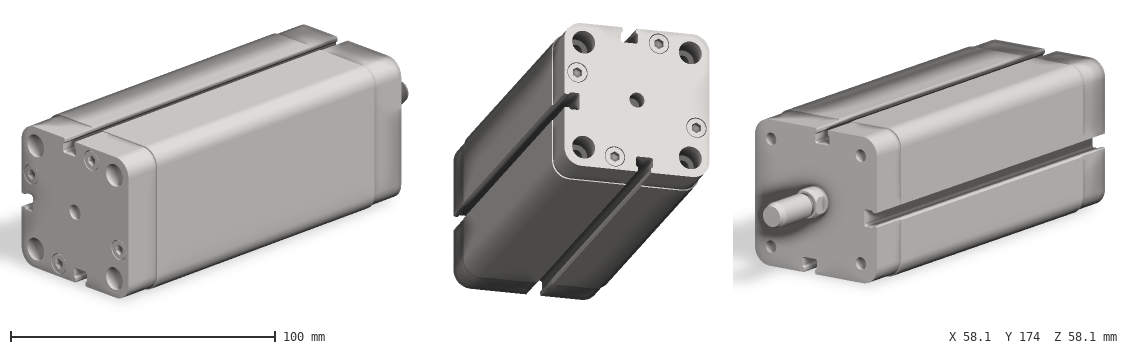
import cadquery as cq

total_length = 174.0
body_length = 145.6
cover_length = 14.8
barrel_length = body_length - 2 * cover_length

barrel_width = 58.1
cover_width = 57.2
corner_radius = 6.8

slot_offset = 3.0
slot_neck_width = 5.2
slot_width = 6.8
slot_depth = 6.5
slot_mouth_flare = 0.44
slot_mouth_depth = 1.0
slot_lip_depth = 2.1
slot_lip_slope = (slot_width - slot_neck_width) / 2
slot_corner_chamfer = 0.61
slot_angles = (0, 90, 180)

mount_hole_spacing = 42.1
mount_hole_diameter = 4.9
mount_counterbore_diameter = 9.0
mount_counterbore_depth = 10.5

screw_center_offset = 8.7
screw_edge_offset = 23.5
screw_recess_diameter = 8.0
screw_head_diameter = 7.5
screw_recess_depth = 4.4
screw_head_recess = 0.2
hex_across_corners = 4.2
hex_depth = 2.1

center_hole_diameter = 6.0
center_hole_depth = 7.0

collar_diameter = 12.0
collar_length = 6.8
collar_chamfer = 0.7
collar_chamfer_length = 1.5
flat_width = 10.1
flat_length = 5.0
neck_diameter = 8.0
thread_diameter = 10.0
thread_length = 19.7
thread_chamfer = 0.5
tip_diameter = 8.0
tip_taper_length = 2.8


def along_y(start):
    """Workplane at Y = start whose local axes are +X and +Z; extrude negatively to go toward +Y."""
    return cq.Workplane("XZ", origin=(0, start, 0))


def rounded_block(width, start, length):
    block = along_y(start).rect(width, width).extrude(-length)
    return block.edges("|Y").fillet(corner_radius)


def rotated(shape, angle):
    """Turn a shape counterclockwise about Y as seen from the cap end."""
    return shape.rotate((0, 0, 0), (0, -1, 0), angle)


def make_slot():
    """Undercut slot through the whole body, open at the top side."""
    surface = barrel_width / 2
    floor = surface - slot_depth
    neck = slot_neck_width / 2
    half = slot_width / 2
    lip = surface - slot_lip_depth
    right_side = [
        (neck + slot_mouth_flare, surface),
        (neck, surface - slot_mouth_depth),
        (neck, lip),
        (half, lip - slot_lip_slope),
        (half, floor + slot_corner_chamfer),
        (half - slot_corner_chamfer, floor),
    ]
    left_side = [(-x, z) for x, z in reversed(right_side)]
    profile = [(x - slot_offset, z) for x, z in right_side + left_side]
    return along_y(0).polyline(profile).close().extrude(-body_length)


def make_screw_recesses():
    """Clearance around and above the screw heads, with a hexagon socket sunk into each head."""
    a = screw_center_offset
    b = screw_edge_offset
    centers = [(a, b), (-b, a), (-a, -b), (b, -a)]
    rim = along_y(0).pushPoints(centers)
    head_top = along_y(screw_head_recess).pushPoints(centers)
    recesses = rim.circle(screw_recess_diameter / 2).extrude(-screw_recess_depth)
    heads = head_top.circle(screw_head_diameter / 2).extrude(screw_head_recess - screw_recess_depth)
    hexagon = cq.Sketch().regularPolygon(hex_across_corners / 2, 6)
    sockets = head_top.placeSketch(hexagon).extrude(-hex_depth)
    return recesses.cut(heads).union(sockets)


def make_rod():
    rod_base = body_length
    collar_end = rod_base + collar_length
    thread_start = total_length - thread_length
    profile = [
        (0, rod_base),
        (collar_diameter / 2, rod_base),
        (collar_diameter / 2, collar_end - collar_chamfer_length),
        (collar_diameter / 2 - collar_chamfer, collar_end),
        (neck_diameter / 2, collar_end),
        (neck_diameter / 2, thread_start),
        (thread_diameter / 2 - thread_chamfer, thread_start),
        (thread_diameter / 2, thread_start + thread_chamfer),
        (thread_diameter / 2, total_length - tip_taper_length),
        (tip_diameter / 2, total_length),
        (0, total_length),
    ]
    rod = cq.Workplane("XY").polyline(profile).close().revolve(360, (0, 0), (0, 1))
    flat_start = collar_end - flat_length
    run_out = collar_diameter / 2
    for side in (1, -1):
        flat = [
            (side * flat_width / 2, collar_end),
            (side * flat_width / 2, flat_start),
            (side * (flat_width / 2 + run_out), flat_start - run_out),
            (side * (flat_width / 2 + run_out), collar_end),
        ]
        rod = rod.cut(cq.Workplane("XY").polyline(flat).close().extrude(collar_diameter / 2, both=True))
    return rod


body = rounded_block(cover_width, 0, cover_length)
body = body.union(rounded_block(barrel_width, cover_length, barrel_length))
body = body.union(rounded_block(cover_width, cover_length + barrel_length, cover_length))

for angle in slot_angles:
    body = body.cut(rotated(make_slot(), angle))

body = body.cut(make_screw_recesses())

mount_holes = along_y(0).rect(mount_hole_spacing, mount_hole_spacing, forConstruction=True).vertices()
body = body.cut(mount_holes.circle(mount_hole_diameter / 2).extrude(-body_length))
body = body.cut(mount_holes.circle(mount_counterbore_diameter / 2).extrude(-mount_counterbore_depth))

body = body.cut(along_y(0).circle(center_hole_diameter / 2).extrude(-center_hole_depth))

result = body.union(make_rod())